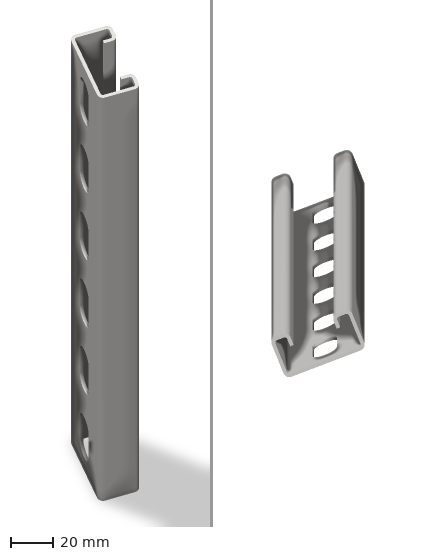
import cadquery as cq

length = 300.0
width = 41.0
depth = 21.0

thickness = 1.8
bend_radius = 3.0
inner_bend_radius = bend_radius - thickness
flange_width = 9.5
lip_depth = 7.0

slot_count = 6
slot_length = 30.0
slot_width = 12.3
slot_pitch = length / slot_count

web_y = -depth / 2
open_y = depth / 2


def box_between(x_range, y_range):
    """Full-length bar spanning the given X and Y ranges, standing on Z = 0."""
    x_min, x_max = x_range
    y_min, y_max = y_range
    return cq.Workplane("XY").box(
        x_max - x_min, y_max - y_min, length, centered=False
    ).translate((x_min, y_min, 0))


def tube(x_range, y_range):
    """Rectangular tube with rounded corners, one sheet thickness thick."""
    outer = box_between(x_range, y_range).edges("|Z").fillet(bend_radius)
    inner_x = (x_range[0] + thickness, x_range[1] - thickness)
    inner_y = (y_range[0] + thickness, y_range[1] - thickness)
    inner = box_between(inner_x, inner_y).edges("|Z").fillet(inner_bend_radius)
    return outer.cut(inner)


def make_flange_and_lip():
    """Open-side flange at -X, with its lip turned back into the channel."""
    x_range = (-width / 2, -width / 2 + flange_width)
    hook = tube(x_range, (web_y, open_y))
    return hook.intersect(box_between(x_range, (open_y - lip_depth, open_y)))


def make_web_and_sides():
    """Web with both side walls, ending at the level of the lip tips."""
    x_range = (-width / 2, width / 2)
    full_tube = tube(x_range, (web_y, open_y))
    return full_tube.intersect(box_between(x_range, (web_y, open_y - lip_depth)))


def make_slots():
    """Row of round-ended slots through the web, centred along the length."""
    return (
        cq.Workplane("XZ", origin=(0, web_y + thickness, length / 2))
        .rarray(3, slot_pitch, 1, slot_count)
        .slot2D(slot_length, slot_width, 90)
        .extrude(thickness)
    )


left_flange = make_flange_and_lip()
right_flange = left_flange.mirror("YZ")
channel = make_web_and_sides().union(left_flange).union(right_flange).clean()
result = channel.cut(make_slots())